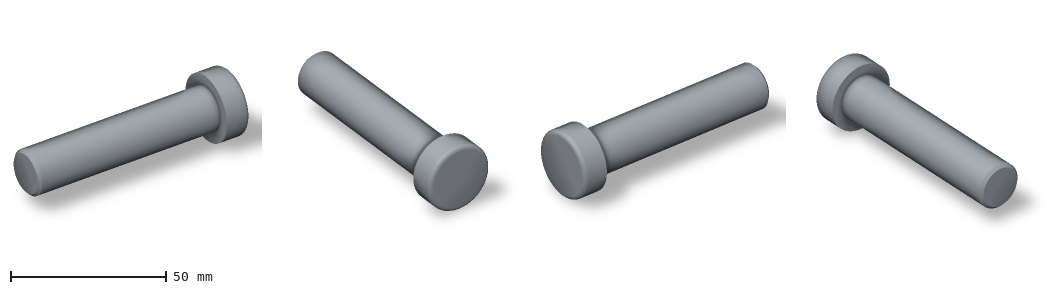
import cadquery as cq

total_length = 79.0
head_diameter = 24.0
head_height = 9.0
head_edge_radius = 1.5
shank_diameter = 16.0
tip_chamfer = 1.0

shank_length = total_length - head_height


def make_shank():
    """Cylinder from the origin toward -Y, chamfered at its free end."""
    shank = cq.Workplane("XZ").circle(shank_diameter / 2).extrude(shank_length)
    return shank.faces("<Y").edges().chamfer(tip_chamfer)


def make_head():
    """Cylinder from the origin toward +Y, with a rounded outer rim."""
    head = cq.Workplane("XZ").circle(head_diameter / 2).extrude(-head_height)
    return head.faces(">Y").edges().fillet(head_edge_radius)


result = make_shank().union(make_head())